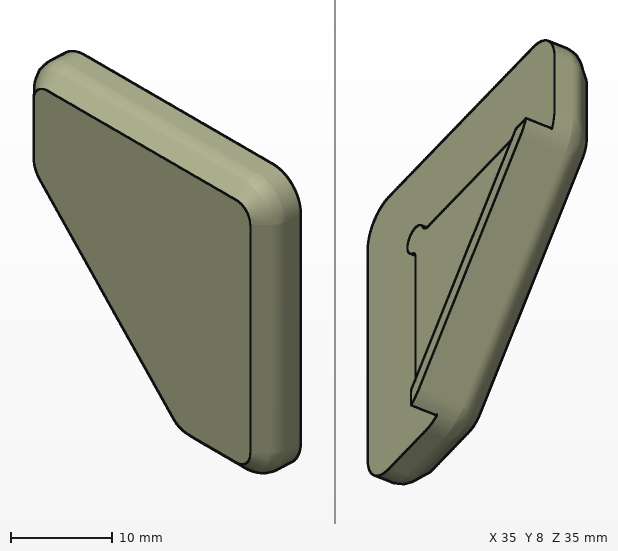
import cadquery as cq
import math

side = 35.0
half = side / 2
plate_thickness = 5.0
corner_leg = 22.0
square_corner_radius = 4.0
diagonal_corner_radius = 5.0
front_chamfer = 2.0
rim_radius = 2.0
rim_margin = 0.05

pad_height = 2.5
wall_height = 3.0
wall_thickness = 1.68
pad_edge = 4.5
lobe_radius = 1.5
neck_radius = 1.0


def outline_block(height):
    """Plate outline extruded from Y = 0 by height along -Y (negative height goes along +Y)."""
    cut_end = corner_leg - half
    block = (
        cq.Workplane("XZ")
        .polyline([
            (-half, half),
            (half, half),
            (half, -half),
            (cut_end, -half),
            (-half, cut_end),
        ])
        .close()
        .extrude(height)
    )
    block = block.edges("|Y").edges("(<X and (not >Z)) or (<Z and (not >X))").fillet(diagonal_corner_radius)
    return block.edges("|Y").edges(">X or (<X and >Z)").fillet(square_corner_radius)


def make_plate():
    """Plate with a chamfered front whose outer rim is rounded."""
    plate = outline_block(plate_thickness).faces("<Y").chamfer(front_chamfer)
    rim_y = front_chamfer - plate_thickness
    rim = cq.selectors.BoxSelector(
        (-side, rim_y - rim_margin, -side),
        (side, rim_y + rim_margin, side),
    )
    return plate.edges(rim).fillet(rim_radius)


def make_pad():
    """Low pad in the diagonal half, ending in a round lobe with hollow necks."""
    centre_distance = lobe_radius + neck_radius
    neck_offset = math.sqrt(centre_distance**2 - neck_radius**2)
    touch_along = neck_offset * lobe_radius / centre_distance
    touch_out = neck_radius * lobe_radius / centre_distance
    half_turn = math.acos(neck_radius / centre_distance) / 2
    mid_along = neck_offset - neck_radius * math.sin(half_turn)
    mid_out = neck_radius * (1 - math.cos(half_turn))
    lobe_reach = lobe_radius / math.sqrt(2)

    def corner_point(x, z):
        return (pad_edge + x, pad_edge + z)

    lobe = (
        cq.Workplane("XZ")
        .moveTo(*corner_point(0, 0))
        .lineTo(*corner_point(-neck_offset, 0))
        .threePointArc(corner_point(-mid_along, mid_out), corner_point(-touch_along, touch_out))
        .threePointArc(corner_point(lobe_reach, lobe_reach), corner_point(touch_out, -touch_along))
        .threePointArc(corner_point(mid_out, -mid_along), corner_point(0, -neck_offset))
        .close()
        .extrude(-pad_height)
    )
    quadrant = (
        cq.Workplane("XZ")
        .moveTo(pad_edge, pad_edge)
        .rect(-side, -side, centered=False)
        .extrude(-pad_height)
    )
    return outline_block(-pad_height).intersect(quadrant).union(lobe)


def make_wall():
    """Wall along the diagonal with a straight inner face, flush with the plate outline."""
    outer_sum = corner_leg - side
    inner_sum = outer_sum + wall_thickness * math.sqrt(2)
    inner_end = inner_sum - pad_edge
    strip = (
        cq.Workplane("XZ")
        .polyline([
            (pad_edge, inner_end),
            (inner_end, pad_edge),
            (-side, pad_edge),
            (-side, -side),
            (pad_edge, -side),
        ])
        .close()
        .extrude(-wall_height)
    )
    return outline_block(-wall_height).intersect(strip)


result = make_plate().union(make_pad()).union(make_wall())